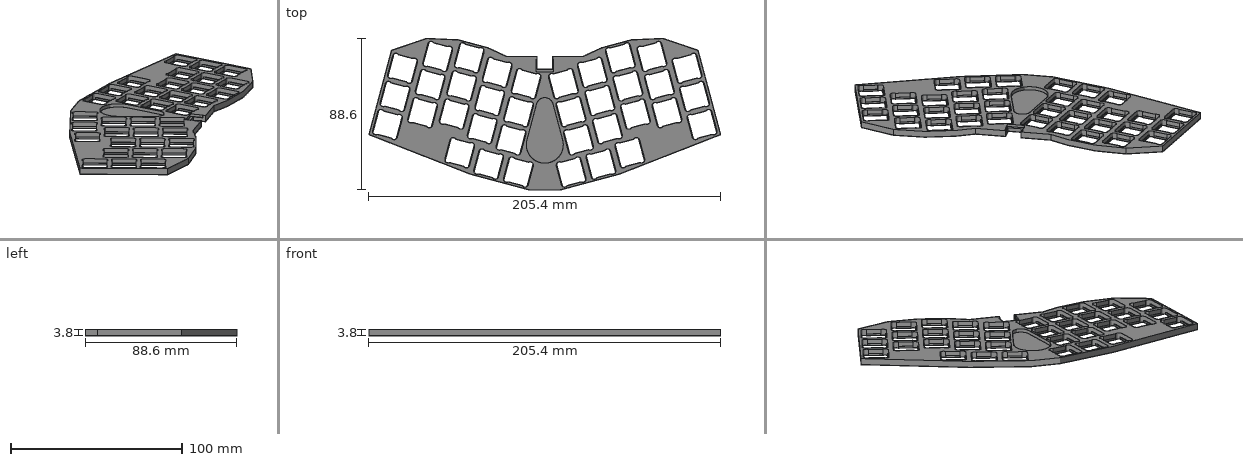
import cadquery as cq
import math

thickness = 3.8
half_angle = 15.0
rear_edge_y = 78.0
rear_edge_half_width = 22.4

column_pitch = 18.0
row_pitch = 17.0
inner_column_x = -26.575
inner_column_y = 23.1
column_rises = [0.0, 2.0, 6.0, 2.0, -10.0]
rows_per_column = 3
thumb_x = inner_column_x + column_pitch / 2
thumb_y = 6.1
thumb_rises = [0.0, 0.0, 2.0]

rim_x = column_pitch / 2
rim_y = row_pitch / 2

relief_width = 15.0
relief_length = 14.1
hole_width = 14.0
hole_length = 14.0
lobe_radius = 2.0
lobe_centre = relief_width / 2 - lobe_radius
ledge_height = 1.2

drop_radius = 10.8
drop_centre_y = 26.4
drop_tip_y = 53.9
drop_depth = 2.0

notch_width = 9.0
notch_floor_y = 70.6
notch_relief_width = 10.2
notch_relief_front_y = 68.8
notch_relief_rear_y = 76.2
notch_ledge_height = 2.3
notch_relief_radius = 0.8


def to_plate(x, y):
    """Turn a point of the left half's frame into plate coordinates."""
    c = math.cos(math.radians(half_angle))
    s = math.sin(math.radians(half_angle))
    return (x * c + y * s, y * c - x * s)


def column_key(column, row):
    return (
        inner_column_x - column * column_pitch,
        inner_column_y + column_rises[column] + row * row_pitch,
    )


def thumb_key(index):
    return (thumb_x - index * column_pitch, thumb_y + thumb_rises[index])


def rim_corner(key, side_x, side_y):
    """Corner of the rim rectangle around a key; the sides are +1 or -1."""
    return to_plate(key[0] + side_x * rim_x, key[1] + side_y * rim_y)


def make_plate():
    top_row = rows_per_column - 1
    outer = len(column_rises) - 1
    tallest = column_rises.index(max(column_rises))
    left = [
        rim_corner(thumb_key(0), 1, -1),
        rim_corner(thumb_key(1), -1, -1),
        rim_corner(column_key(outer, 0), -1, -1),
        rim_corner(column_key(outer, top_row), -1, 1),
        rim_corner(column_key(outer - 1, top_row), -1, 1),
        rim_corner(column_key(tallest, top_row), -1, 1),
        rim_corner(column_key(tallest, top_row), 1, 1),
        (-rear_edge_half_width, rear_edge_y),
    ]
    right = [(-x, y) for x, y in reversed(left)]
    return cq.Workplane("XY").polyline(left + right).close().extrude(thickness)


def lobed_block(length, height):
    """Full-width block with a round lobe at each corner, standing on Z = 0."""
    sides = cq.Workplane("XY").rect(relief_width, 2 * lobe_centre).extrude(height)
    middle = cq.Workplane("XY").rect(2 * lobe_centre, length).extrude(height)
    corners = cq.Workplane("XY").rect(2 * lobe_centre, 2 * lobe_centre, forConstruction=True).vertices()
    return sides.union(middle).union(corners.circle(lobe_radius).extrude(height))


def make_key_cutter():
    width_limit = cq.Workplane("XY").rect(hole_width, relief_width).extrude(thickness)
    hole = lobed_block(hole_length, thickness).intersect(width_limit)
    relief = lobed_block(relief_length, thickness - ledge_height)
    return hole.union(relief.translate((0, 0, ledge_height)))


def make_key_cutters():
    cutter = make_key_cutter()
    keys = [column_key(c, r) for c in range(len(column_rises)) for r in range(rows_per_column)]
    keys += [thumb_key(i) for i in range(len(thumb_rises))]
    solids = []
    for key in keys:
        x, y = to_plate(*key)
        for side in (1, -1):
            turned = cutter.rotate((0, 0, 0), (0, 0, 1), -side * half_angle)
            solids.append(turned.translate((side * x, y, 0)).val())
    return cq.Workplane("XY").newObject(solids).combine()


def make_drop_cutter():
    s = math.sin(math.radians(half_angle))
    c = math.cos(math.radians(half_angle))
    tip_radius = (drop_radius - s * (drop_tip_y - drop_centre_y)) / (1 - s)
    tip_centre_y = drop_tip_y - tip_radius
    base_point = (drop_radius * c, drop_centre_y + drop_radius * s)
    tip_point = (tip_radius * c, tip_centre_y + tip_radius * s)
    return (
        cq.Workplane("XY").workplane(offset=thickness - drop_depth)
        .moveTo(-base_point[0], base_point[1])
        .threePointArc((0, drop_centre_y - drop_radius), base_point)
        .lineTo(*tip_point)
        .threePointArc((0, drop_tip_y), (-tip_point[0], tip_point[1]))
        .close()
        .extrude(drop_depth)
    )


def slot(width, front_y, rear_y, bottom):
    length = rear_y - front_y
    box = cq.Workplane("XY").box(width, length, thickness - bottom, centered=(True, False, False))
    return box.translate((0, front_y, bottom))


def make_notch_cutter():
    through = slot(notch_width, notch_floor_y, rear_edge_y, 0)
    relief = slot(notch_relief_width, notch_relief_front_y, notch_relief_rear_y, notch_ledge_height)
    relief = relief.edges("|Z and <Y").fillet(notch_relief_radius)
    return through.union(relief)


result = make_plate().cut(make_key_cutters()).cut(make_drop_cutter()).cut(make_notch_cutter())